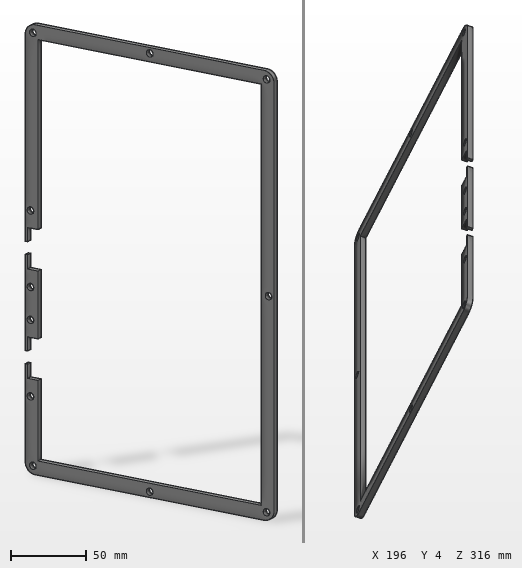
import cadquery as cq

WIDTH = 196.0
THICKNESS = 4.0
HEIGHT = 316.0
RAIL_WIDTH = 10.0
CORNER_RADIUS = 8.0

BREAK_HEIGHTS = (0.0, -76.8)
GAP_LENGTH = 9.2
NOTCH_LENGTH = 29.0
LIP_WIDTH = 2.0

HOLE_DIAMETER = 5.0
CORNER_HOLE_INSET = 6.0
END_HOLE_INSET = 4.0
LEFT_HOLE_INSET = 4.0
RIGHT_HOLE_INSET = 4.5
HOLE_FROM_BREAK = 27.0

HALF_WIDTH = WIDTH / 2
HALF_HEIGHT = HEIGHT / 2


def box(x_min, x_max, z_min, z_max):
    """Block through the full thickness, between the given X and Z limits."""
    return cq.Workplane("XY").box(x_max - x_min, THICKNESS, z_max - z_min).translate(
        ((x_min + x_max) / 2, 0, (z_min + z_max) / 2)
    )


def hole_positions():
    """X, Z centres of all the screw holes."""
    corner_x = HALF_WIDTH - CORNER_HOLE_INSET
    corner_z = HALF_HEIGHT - CORNER_HOLE_INSET
    corners = [(x, z) for x in (-corner_x, corner_x) for z in (-corner_z, corner_z)]
    end_z = HALF_HEIGHT - END_HOLE_INSET
    ends = [(0, -end_z), (0, end_z)]
    right = [(HALF_WIDTH - RIGHT_HOLE_INSET, 0)]
    left_x = -HALF_WIDTH + LEFT_HOLE_INSET
    left = [(left_x, z + side * HOLE_FROM_BREAK) for z in BREAK_HEIGHTS for side in (-1, 1)]
    return corners + ends + right + left


def drill(body, positions):
    """Cut screw holes through the thickness at the given X, Z centres."""
    drills = (
        cq.Workplane("XZ")
        .pushPoints(positions)
        .circle(HOLE_DIAMETER / 2)
        .extrude(THICKNESS / 2, both=True)
    )
    return body.cut(drills)


def cut_break(body, height):
    """Cut a gap through the left rail and notch its inner side, leaving a thin lip at each end."""
    left = -HALF_WIDTH
    inner = left + RAIL_WIDTH
    gap = box(left, inner, height - GAP_LENGTH / 2, height + GAP_LENGTH / 2)
    notch = box(left + LIP_WIDTH, inner, height - NOTCH_LENGTH / 2, height + NOTCH_LENGTH / 2)
    return body.cut(gap).cut(notch)


def make_frame():
    """Rounded rectangular frame whose left rail is open between the outermost breaks."""
    frame = box(-HALF_WIDTH, HALF_WIDTH, -HALF_HEIGHT, HALF_HEIGHT)
    frame = frame.edges("|Y").fillet(CORNER_RADIUS)
    inner_x = HALF_WIDTH - RAIL_WIDTH
    inner_z = HALF_HEIGHT - RAIL_WIDTH
    frame = frame.cut(box(-inner_x, inner_x, -inner_z, inner_z))
    frame = frame.cut(box(-HALF_WIDTH, -inner_x, min(BREAK_HEIGHTS), max(BREAK_HEIGHTS)))
    for height in BREAK_HEIGHTS:
        frame = cut_break(frame, height)
    return drill(frame, hole_positions())


def make_strip():
    """Loose piece of the left rail between the two breaks."""
    left = -HALF_WIDTH
    strip = box(left, left + RAIL_WIDTH, min(BREAK_HEIGHTS), max(BREAK_HEIGHTS))
    for height in BREAK_HEIGHTS:
        strip = cut_break(strip, height)
    return drill(strip, hole_positions())


frame = make_frame()
strip = make_strip()

result = cq.Compound.makeCompound([frame.solids().val(), strip.solids().val()])